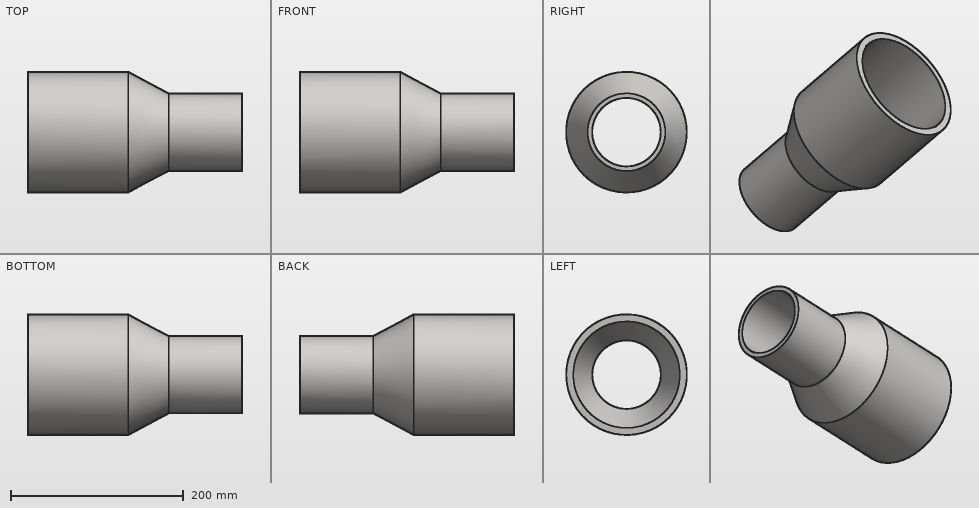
import cadquery as cq

total_length = 248.0
wide_length = 116.0
narrow_length = 85.0
wide_outer_diameter = 140.0
wide_bore_diameter = 123.5
narrow_outer_diameter = 90.0
narrow_bore_diameter = 79.0

cone_start = wide_length
cone_end = total_length - narrow_length


def reducer_solid(wide_diameter, narrow_diameter):
    """Solid of two cylinders joined by a cone, revolved about the X axis."""
    wide_radius = wide_diameter / 2
    narrow_radius = narrow_diameter / 2
    half_profile = [
        (0, 0),
        (0, wide_radius),
        (cone_start, wide_radius),
        (cone_end, narrow_radius),
        (total_length, narrow_radius),
        (total_length, 0),
    ]
    return (
        cq.Workplane("XY")
        .polyline(half_profile)
        .close()
        .revolve(360, (0, 0, 0), (1, 0, 0))
    )


body = reducer_solid(wide_outer_diameter, narrow_outer_diameter)
bore = reducer_solid(wide_bore_diameter, narrow_bore_diameter)
result = body.cut(bore)